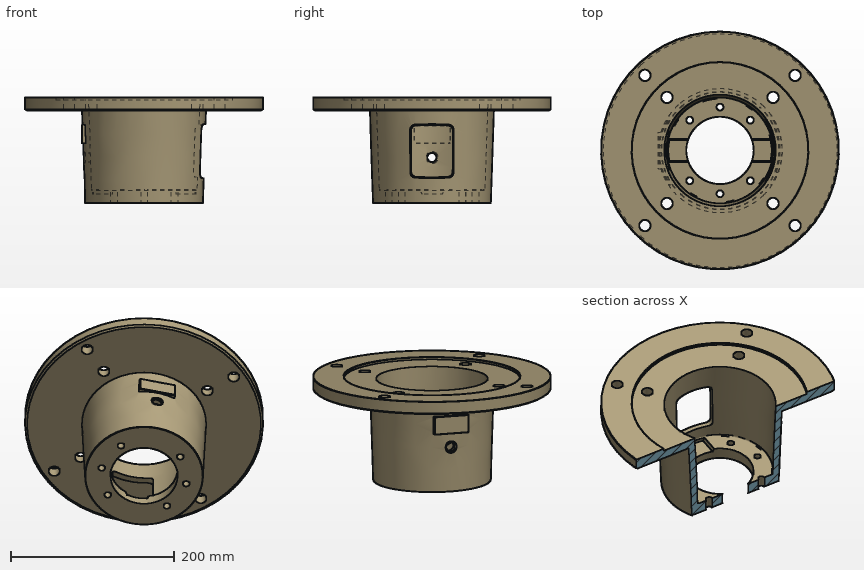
import cadquery as cq
import math

height = 130.3
flange_radius = 146.0
flange_thickness = 16.5
flange_top_chamfer = 0.5
flange_lower_chamfer_width = 2.5
flange_lower_chamfer_height = 1.8
flange_bottom = height - flange_thickness

recess_radius = 108.0
recess_depth = 3.2
recess_lip_chamfer = 0.5

foot_radius = 72.5
housing_top_radius = 76.2
housing_taper = (housing_top_radius - foot_radius) / flange_bottom
foot_chamfer = 0.5

cavity_top_radius = 68.5
cavity_floor_radius = 64.8
cavity_corner_radius = 1.5
floor_thickness = 16.0
pilot_bore_radius = 41.2

groove_top_width = 28.5
groove_bottom_width = 24.8
groove_depth = 4.5

square_angles = (45, 135, 225, 315)
pair_angles = (90, 270)
bolt_hole_diameter = 13.7
outer_bolt_radius = 130.3
inner_bolt_radius = 92.0
floor_hole_diameter = 8.2
four_hole_radius = 52.5
two_hole_radius = 53.2

window_width = 56.0
window_bottom = 30.5
window_top = 97.5
window_draft_angle = 10
window_corner_radius = 8.2

side_hole_diameter = 11.0
side_hole_height = 56.5
countersink_diameter = 15.2

pad_width = 45.0
pad_bottom = 73.5
pad_top = 96.5
pad_corner_radius = 2.0
pad_face_distance = 76.5
pad_edge_chamfer = 1.0


def turned_body():
    """Flange and housing as one revolved solid."""
    outline = [
        (0, 0),
        (foot_radius - foot_chamfer, 0),
        (foot_radius + foot_chamfer * housing_taper, foot_chamfer),
        (housing_top_radius, flange_bottom),
        (flange_radius - flange_lower_chamfer_width, flange_bottom),
        (flange_radius, flange_bottom + flange_lower_chamfer_height),
        (flange_radius, height - flange_top_chamfer),
        (flange_radius - flange_top_chamfer, height),
        (recess_radius + recess_lip_chamfer, height),
        (recess_radius, height - recess_lip_chamfer),
        (recess_radius, height - recess_depth),
        (0, height - recess_depth),
    ]
    return cq.Workplane("YZ").polyline(outline).close().revolve(360, (0, 0), (0, 1))


def cavity():
    """Tapered hollow above the floor, rounded where it meets the floor."""
    outline = [
        (0, floor_thickness),
        (cavity_floor_radius, floor_thickness),
        (cavity_top_radius, height),
        (0, height),
    ]
    hollow = cq.Workplane("YZ").polyline(outline).close().revolve(360, (0, 0), (0, 1))
    return hollow.faces("<Z").edges().fillet(cavity_corner_radius)


def floor_groove():
    """Trapezoidal groove along X, ending at the cavity wall."""
    section = [
        (-groove_top_width / 2, floor_thickness),
        (groove_top_width / 2, floor_thickness),
        (groove_bottom_width / 2, floor_thickness - groove_depth),
        (-groove_bottom_width / 2, floor_thickness - groove_depth),
    ]
    bar = cq.Workplane("YZ").polyline(section).close().extrude(foot_radius, both=True)
    limit = cq.Workplane("XY").circle(cavity_floor_radius - cavity_corner_radius).extrude(height)
    return bar.intersect(limit)


def holes_on_circle(diameter, radius, angles):
    """Vertical drills through the full height, spaced around the axis."""
    centres = [
        (radius * math.cos(math.radians(angle)), radius * math.sin(math.radians(angle)))
        for angle in angles
    ]
    return cq.Workplane("XY").pushPoints(centres).circle(diameter / 2).extrude(height)


def window():
    """Rounded rectangular opening through the +X wall, narrowing inwards by its draft."""
    middle = (window_bottom + window_top) / 2
    reach = housing_top_radius / 2
    outline = cq.Sketch().rect(window_width, window_top - window_bottom)
    outline = outline.vertices().fillet(window_corner_radius)
    plane = cq.Workplane("YZ", origin=(housing_top_radius, 0, middle))
    return plane.placeSketch(outline).extrude(-reach, taper=window_draft_angle)


def side_hole():
    """Radial drill through the -X wall, with a 45 degree countersink at its mouth."""
    plane = cq.Workplane("YZ").center(0, side_hole_height)
    drill = plane.circle(side_hole_diameter / 2).extrude(-flange_radius)
    mouth = foot_radius + side_hole_height * housing_taper
    depth = (countersink_diameter - side_hole_diameter) / 2
    cone = cq.Solid.makeCone(
        countersink_diameter / 2,
        side_hole_diameter / 2,
        depth,
        pnt=cq.Vector(-mouth, 0, side_hole_height),
        dir=cq.Vector(1, 0, 0),
    )
    return drill.union(cq.Workplane(cone))


def name_pad():
    """Flat raised pad with rounded corners and bevelled face edges."""
    middle = (pad_bottom + pad_top) / 2
    pad = cq.Workplane("YZ").center(0, middle).rect(pad_width, pad_top - pad_bottom)
    pad = pad.extrude(-pad_face_distance).edges("|X").fillet(pad_corner_radius)
    return pad.faces("<X").edges().chamfer(pad_edge_chamfer)


result = turned_body().union(name_pad())
result = result.cut(cavity()).cut(floor_groove())
result = result.cut(cq.Workplane("XY").circle(pilot_bore_radius).extrude(height))
result = result.cut(holes_on_circle(bolt_hole_diameter, outer_bolt_radius, square_angles))
result = result.cut(holes_on_circle(bolt_hole_diameter, inner_bolt_radius, square_angles))
result = result.cut(holes_on_circle(floor_hole_diameter, four_hole_radius, square_angles))
result = result.cut(holes_on_circle(floor_hole_diameter, two_hole_radius, pair_angles))
result = result.cut(window()).cut(side_hole())